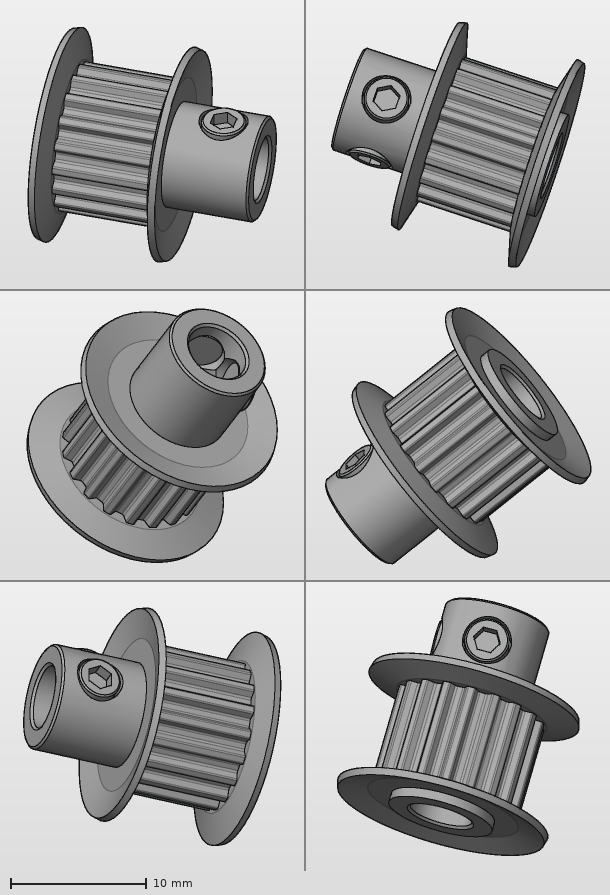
import cadquery as cq
import math


HUB_LENGTH = 15.89
HUB_RADIUS = 3.97
HUB_CHAMFER = 0.16
BORE_RADIUS = 2.35
BORE_CHAMFER = 0.2

FLANGE_RADIUS = 8.06
FLANGE_START = 0.11
FLANGE_THICKNESS = 0.55
FLANGE_FLAT_RADIUS = 5.77
FLANGE_ANGLE = math.radians(15.5)

BARREL_START = 1.29
BARREL_LENGTH = 7.35
BARREL_END = BARREL_START + BARREL_LENGTH
BARREL_MIDDLE = BARREL_START + BARREL_LENGTH / 2
TOOTH_COUNT = 18
TIP_RADIUS = 5.6
ROOT_RADIUS = 4.95
GROOVE_HALF_WIDTH = 0.32
GROOVE_FLANK_ANGLE = math.radians(30)
ROOT_FILLET = 0.21
TIP_FILLET = 0.13

SCREW_X = 12.9
SCREW_RADIUS = 1.65
SCREW_HOLE_RADIUS = 1.8
SCREW_CHAMFER = 0.13
SCREW_LENGTH = HUB_RADIUS - BORE_RADIUS
HEX_ACROSS_FLATS = 1.76
HEX_DEPTH = 0.97
SCREW_ANGLES = (0, -90)


def cylinder_x(start, end, radius):
    return cq.Workplane("YZ", origin=(start, 0, 0)).circle(radius).extrude(end - start)


def make_flange():
    """Left flange: a flat disc with a conical rim that leans toward -X."""
    rim_step_x = FLANGE_THICKNESS * math.cos(FLANGE_ANGLE)
    rim_step_r = FLANGE_THICKNESS * math.sin(FLANGE_ANGLE)
    rim_outer_radius = FLANGE_RADIUS - rim_step_r
    cone_slope = math.tan(FLANGE_ANGLE)
    disc_outer_x = FLANGE_START + (rim_outer_radius - FLANGE_FLAT_RADIUS) * cone_slope
    profile = [
        (disc_outer_x, 0),
        (disc_outer_x, FLANGE_FLAT_RADIUS),
        (FLANGE_START, rim_outer_radius),
        (FLANGE_START + rim_step_x, FLANGE_RADIUS),
        (BARREL_START, FLANGE_FLAT_RADIUS),
        (BARREL_START, 0),
    ]
    return cq.Workplane("XY").polyline(profile).close().revolve(360, (0, 0, 0), (1, 0, 0))


def make_groove():
    """Trapezoidal cutter for the tooth gap that faces -Y, with rounded root corners."""
    mouth_radius = TIP_RADIUS + 2 * TIP_FILLET
    flank_spread = (mouth_radius - ROOT_RADIUS) * math.tan(GROOVE_FLANK_ANGLE)
    mouth_half_width = GROOVE_HALF_WIDTH + flank_spread
    return (
        cq.Workplane("YZ", origin=(BARREL_START, 0, 0))
        .polyline([
            (-ROOT_RADIUS, -GROOVE_HALF_WIDTH),
            (-ROOT_RADIUS, GROOVE_HALF_WIDTH),
            (-mouth_radius, mouth_half_width),
            (-mouth_radius, -mouth_half_width),
        ])
        .close()
        .extrude(BARREL_LENGTH)
        .faces(">Y")
        .edges("|X")
        .fillet(ROOT_FILLET)
    )


def make_barrel():
    barrel = cylinder_x(BARREL_START, BARREL_END, TIP_RADIUS)
    groove = make_groove()
    for index in range(TOOTH_COUNT):
        angle = index * 360 / TOOTH_COUNT
        barrel = barrel.cut(groove.rotate((0, 0, 0), (1, 0, 0), angle))
    tip_edges = barrel.edges("|X").filter(
        lambda edge: math.hypot(edge.Center().y, edge.Center().z) > TIP_RADIUS - TIP_FILLET / 2
    )
    return barrel.newObject(tip_edges.vals()).fillet(TIP_FILLET)


def make_hub():
    """Plain hub with its screw holes and chamfered free end, before boring."""
    hub = cylinder_x(0, HUB_LENGTH, HUB_RADIUS).faces(">X").edges().chamfer(HUB_CHAMFER)
    for angle in SCREW_ANGLES:
        hole = (
            cq.Workplane("XY", origin=(SCREW_X, 0, 0))
            .circle(SCREW_HOLE_RADIUS)
            .extrude(2 * HUB_RADIUS)
            .rotate((0, 0, 0), (1, 0, 0), angle)
        )
        hub = hub.cut(hole)
    return hub


def cut_bore(body):
    body = body.cut(cylinder_x(0, HUB_LENGTH, BORE_RADIUS))
    bore_ends = body.faces("<X or >X").edges(cq.selectors.RadiusNthSelector(0))
    return bore_ends.chamfer(BORE_CHAMFER)


def make_pulley():
    flange = make_flange()
    opposite_flange = flange.mirror("YZ", (BARREL_MIDDLE, 0, 0))
    body = make_hub().union(make_barrel()).union(flange).union(opposite_flange)
    return cut_bore(body)


def make_set_screw(angle):
    """Socket set screw flush with the hub, built along +Z and turned about X."""
    hex_across_corners = HEX_ACROSS_FLATS / math.cos(math.pi / 6)
    screw = (
        cq.Workplane("XY", origin=(SCREW_X, 0, BORE_RADIUS))
        .circle(SCREW_RADIUS)
        .extrude(SCREW_LENGTH)
        .faces(">Z")
        .edges()
        .chamfer(SCREW_CHAMFER)
    )
    socket = (
        cq.Workplane("XY", origin=(SCREW_X, 0, HUB_RADIUS - HEX_DEPTH))
        .transformed(rotate=(0, 0, 90))
        .polygon(6, hex_across_corners)
        .extrude(HEX_DEPTH)
    )
    return screw.cut(socket).rotate((0, 0, 0), (1, 0, 0), angle)


pulley = make_pulley()
set_screws = [make_set_screw(angle) for angle in SCREW_ANGLES]

result = cq.Compound.makeCompound([pulley.val(), *[screw.val() for screw in set_screws]])